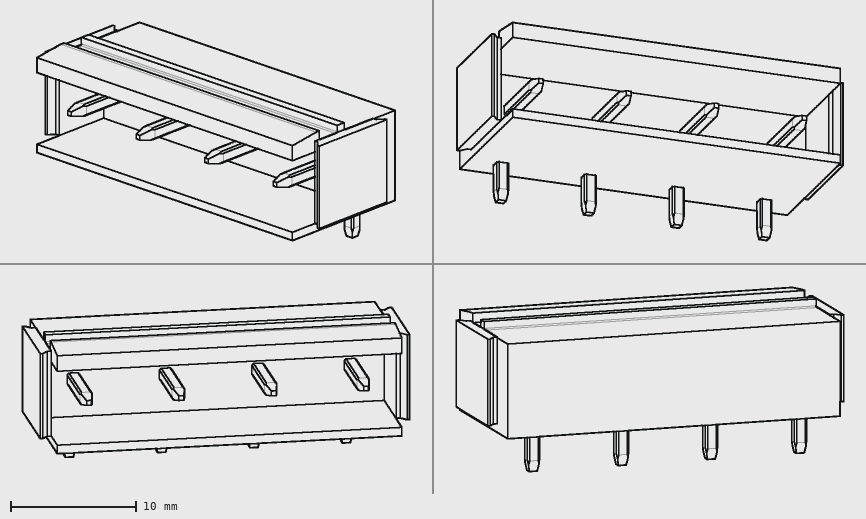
import cadquery as cq


overall_length = 30.0
depth = 12.0
body_length = 28.0
body_bottom = 3.18
roof_top = 10.92
rail_top = 10.98
floor_thickness = 0.72
roof_bottom = 10.05
rear_wall_thickness = 4.2

front_y = -depth / 2
rear_y = depth / 2
floor_top = body_bottom + floor_thickness

lip_top = 11.7
lip_front_top = 11.35
lip_rear_y = -2.85
lip_slope_y = -3.2

rib_top = 11.58
rib_rear_y = 0.03
rib_width = 0.8
rib_foot_radius = 0.12

rail_width = 7.92
rail_neck_width = 6.78
rail_rim = 0.2
rail_flare = 0.45

pin_count = 4
pin_pitch = 7.5
pin_size = 1.02
pin_corner = 0.15
pin_leg_y = 3.9
pin_axis_z = 7.02
leg_taper_length = 0.93
leg_tip_size = 0.65
contact_tip_y = -5.1
contact_taper_length = 1.38
contact_tip_size = 0.4


def make_body():
    """C-shaped section, open to the front and at both ends, with lip and rib on the roof."""
    rib_front_y = rib_rear_y - rib_width
    rear_wall_y = rear_y - rear_wall_thickness
    foot_z = roof_top + rib_foot_radius
    profile = (
        cq.Workplane("YZ", origin=(-body_length / 2, 0, 0))
        .moveTo(rear_y, body_bottom)
        .lineTo(rear_y, roof_top)
        .lineTo(rib_rear_y + rib_foot_radius, roof_top)
        .radiusArc((rib_rear_y, foot_z), rib_foot_radius)
        .lineTo(rib_rear_y, rib_top)
        .lineTo(rib_front_y, rib_top)
        .lineTo(rib_front_y, foot_z)
        .radiusArc((rib_front_y - rib_foot_radius, roof_top), rib_foot_radius)
        .lineTo(lip_rear_y, roof_top)
        .lineTo(lip_rear_y, lip_top)
        .lineTo(lip_slope_y, lip_top)
        .lineTo(front_y, lip_front_top)
        .lineTo(front_y, roof_bottom)
        .lineTo(rear_wall_y, roof_bottom)
        .lineTo(rear_wall_y, floor_top)
        .lineTo(front_y, floor_top)
        .lineTo(front_y, body_bottom)
        .close()
    )
    return profile.extrude(body_length)


def make_rail(side):
    """Dovetail rail on one end; side is -1 or +1 along X."""
    neck_x = side * body_length / 2
    outer_x = side * overall_length / 2
    rim_x = outer_x - side * rail_rim
    flare_x = rim_x - side * rail_flare
    half_width = rail_width / 2
    half_neck = rail_neck_width / 2
    return (
        cq.Workplane("XY", origin=(0, 0, floor_top))
        .polyline([
            (neck_x, -half_neck),
            (flare_x, -half_neck),
            (rim_x, -half_width),
            (outer_x, -half_width),
            (outer_x, half_width),
            (rim_x, half_width),
            (flare_x, half_neck),
            (neck_x, half_neck),
        ])
        .close()
        .extrude(rail_top - floor_top)
    )


def make_bar(length, tip_size, taper_length):
    """Square bar with chamfered corners along +Z, tapered on four sides to its tip."""
    bar = cq.Workplane("XY").rect(pin_size, pin_size).extrude(length).edges("|Z").chamfer(pin_corner)
    taper_start = length - taper_length
    envelope = (
        cq.Workplane("XY").rect(pin_size, pin_size).extrude(taper_start)
        .union(
            cq.Workplane("XY", origin=(0, 0, taper_start))
            .rect(pin_size, pin_size)
            .workplane(offset=taper_length)
            .rect(tip_size, tip_size)
            .loft()
        )
    )
    return bar.intersect(envelope)


def make_pin(x):
    """Right-angle pin: a leg down through the floor and a contact forward into the mouth."""
    x_axis = (1, 0, 0)
    origin = (0, 0, 0)
    leg = (
        make_bar(pin_axis_z, leg_tip_size, leg_taper_length)
        .rotate(origin, x_axis, 180)
        .translate((x, pin_leg_y, pin_axis_z))
    )
    contact = (
        make_bar(pin_leg_y - contact_tip_y, contact_tip_size, contact_taper_length)
        .rotate(origin, x_axis, 90)
        .translate((x, pin_leg_y, pin_axis_z))
    )
    elbow = cq.Workplane("XY").box(pin_size, pin_size, pin_size).translate((x, pin_leg_y, pin_axis_z))
    return leg.union(contact).union(elbow)


def make_housing(pins):
    """Body with its end rails and a fitted passage for every pin."""
    housing = make_body()
    for side in (-1, 1):
        housing = housing.union(make_rail(side))
    for pin in pins:
        housing = housing.cut(pin)
    return housing


first_pin_x = -pin_pitch * (pin_count - 1) / 2
pins = [make_pin(first_pin_x + i * pin_pitch) for i in range(pin_count)]
housing = make_housing(pins)

result = cq.Compound.makeCompound([housing.solids().val(), *[pin.solids().val() for pin in pins]])